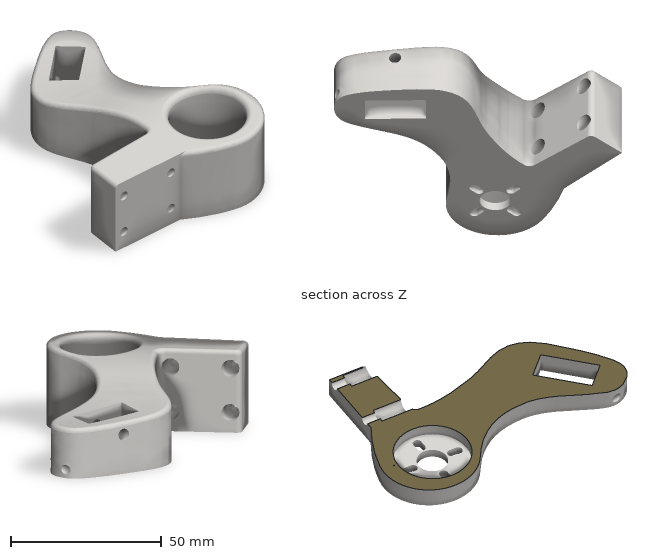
import cadquery as cq
import math

BODY_HEIGHT = 28.0
EDGE_ROUND = 1.5

SLOPE_TOP_X = 73.3
SLOPE_MID_X, SLOPE_MID_Z = 49.4, 24.7
TAIL_Z = 17.0

HUB_X, HUB_Y = 78.2, 49.0
HUB_RADIUS = 17.2
HUB_START_ANGLE = -12.0
HUB_END_ANGLE = 142.0

CUP_X, CUP_Y = 76.3, 48.1
CUP_DIAMETER = 26.0
CUP_RIM_ROUND = 2.0
CUP_FLOOR = 3.0
SHAFT_HOLE_DIAMETER = 10.5
SLOT_WIDTH = 3.05
SLOT_LENGTH = 5.5
SLOT_PITCH_RADIUS = 8.7

ARM_RIGHT_X = 87.9
ARM_SHOULDER_Y = 27.45
SHOULDER_DIRECTION = (1, 1.75)
ARM_TIP_X = 73.7
ARM_ROOT_X, ARM_ROOT_Y = 71.7, 27.4
ARM_TIP_ROUND = 1.9
ARM_ROOT_ROUND = 2.7
ARM_HOLE_YS = (3.5, 23.45)
ARM_HOLE_ZS = (6.9, 21.9)
ARM_HOLE_DIAMETER = 3.3
ARM_BORE_DIAMETER = 5.8
ARM_BORE_FLOOR = 5.0
ARM_BORE_LENGTH = 14.3

WINDOW_X, WINDOW_Y = 17.5, 35.6
WINDOW_LENGTH, WINDOW_WIDTH = 20.2, 10.1
WINDOW_ANGLE = -45.0
PIN_DIAMETER = 4.0
PIN_Z = 13.3
PIN_REACH = 19.1
NOSE_HOLE_DIAMETER = 3.05
NOSE_HOLE_Z = 3.0
NOSE_HOLE_OFFSET = 4.9

CLEARANCE = 57.2
SEAM_TOLERANCE = 0.1

TAIL_OUTLINE = [
    (61.4, 54.8),
    (55.3, 48.4),
    (49.2, 44.8),
    (42.9, 43.1),
    (36.6, 42.7),
    (29.7, 44.1),
    (14.5, 50.9),
    (8.4, 52.2),
    (1.9, 48.6),
    (0.0, 43.7),
    (1.6, 38.9),
    (8.6, 29.55),
    (16.8, 20.7),
    (21.0, 17.4),
    (28.1, 15.3),
    (36.1, 17.4),
    (42.9, 21.1),
    (51.5, 24.5),
    (61.5, 26.9),
]


def hub_point(angle):
    turn = math.radians(angle)
    return (HUB_X + HUB_RADIUS * math.cos(turn), HUB_Y + HUB_RADIUS * math.sin(turn))


def hub_tangent(angle):
    turn = math.radians(angle)
    return (-math.sin(turn), math.cos(turn))


def upright_edge(x, y):
    """Selector for the vertical edge that stands at (x, y)."""
    return cq.selectors.NearestToPointSelector((x, y, BODY_HEIGHT / 2))


def outline_prism():
    middle_angle = (HUB_START_ANGLE + HUB_END_ANGLE) / 2
    flank_tangents = [SHOULDER_DIRECTION, hub_tangent(HUB_START_ANGLE)]
    tail_tangents = [hub_tangent(HUB_END_ANGLE)] + [None] * len(TAIL_OUTLINE)
    return (
        cq.Workplane("XY")
        .moveTo(ARM_RIGHT_X, 0)
        .lineTo(ARM_RIGHT_X, ARM_SHOULDER_Y)
        .spline([hub_point(HUB_START_ANGLE)], tangents=flank_tangents, includeCurrent=True)
        .threePointArc(hub_point(middle_angle), hub_point(HUB_END_ANGLE))
        .spline(TAIL_OUTLINE, tangents=tail_tangents, includeCurrent=True)
        .tangentArcPoint((ARM_ROOT_X, ARM_ROOT_Y), relative=False)
        .lineTo(ARM_TIP_X, 0)
        .close()
        .extrude(BODY_HEIGHT)
        .edges(upright_edge(ARM_TIP_X, 0))
        .fillet(ARM_TIP_ROUND)
        .edges(upright_edge(ARM_ROOT_X, ARM_ROOT_Y))
        .fillet(ARM_ROOT_ROUND)
    )


def height_envelope():
    """Side profile, extruded across the full width of the part."""
    drop = BODY_HEIGHT - SLOPE_MID_Z
    run = SLOPE_TOP_X - SLOPE_MID_X
    crest_radius = (run**2 + drop**2) / (2 * drop)
    half_turn = math.asin(run / crest_radius) / 2
    crest = (SLOPE_TOP_X - crest_radius * math.sin(half_turn),
             BODY_HEIGHT - crest_radius * (1 - math.cos(half_turn)))
    return (
        cq.Workplane("XZ")
        .moveTo(HUB_X + CLEARANCE, 0)
        .lineTo(HUB_X + CLEARANCE, BODY_HEIGHT)
        .lineTo(SLOPE_TOP_X, BODY_HEIGHT)
        .threePointArc(crest, (SLOPE_MID_X, SLOPE_MID_Z))
        .tangentArcPoint((0, TAIL_Z), relative=False)
        .lineTo(-CLEARANCE, TAIL_Z)
        .lineTo(-CLEARANCE, 0)
        .close()
        .extrude(-CLEARANCE * 2)
    )


def round_top_rim(body):
    """Round the upper outline; the arm's right edge and the seams across the top stay sharp."""
    rim = []
    for edge in body.edges().vals():
        box = edge.BoundingBox()
        runs_sideways = box.xlen > SEAM_TOLERANCE
        if runs_sideways and box.zmin > TAIL_Z - EDGE_ROUND:
            rim.append(edge)
    return body.newObject(rim).fillet(EDGE_ROUND)


def cut_motor_cup(body):
    radius = CUP_DIAMETER / 2
    cup = cq.Workplane("XY", origin=(CUP_X, CUP_Y, CUP_FLOOR)).circle(radius).extrude(CLEARANCE)
    body = body.cut(cup)
    margin = radius + SEAM_TOLERANCE
    rim_zone = cq.selectors.BoxSelector(
        (CUP_X - margin, CUP_Y - margin, BODY_HEIGHT - CUP_RIM_ROUND),
        (CUP_X + margin, CUP_Y + margin, BODY_HEIGHT + SEAM_TOLERANCE),
        boundingbox=True,
    )
    return body.edges(rim_zone).fillet(CUP_RIM_ROUND)


def cut_motor_mount(body):
    floor = cq.Workplane("XY", origin=(CUP_X, CUP_Y, 0))
    shaft_hole = floor.circle(SHAFT_HOLE_DIAMETER / 2).extrude(CUP_FLOOR)
    slots = (
        floor.polarArray(SLOT_PITCH_RADIUS, 0, 360, 4)
        .slot2D(SLOT_LENGTH, SLOT_WIDTH)
        .extrude(CUP_FLOOR)
    )
    return body.cut(shaft_hole).cut(slots)


def cut_arm_screws(body):
    """Through holes along X with deep counterbores opening on the arm's left side."""
    centres = [(y, z) for y in ARM_HOLE_YS for z in ARM_HOLE_ZS]
    bore_end = cq.Workplane("YZ", origin=(ARM_RIGHT_X - ARM_BORE_FLOOR, 0, 0)).pushPoints(centres)
    through_holes = bore_end.circle(ARM_HOLE_DIAMETER / 2).extrude(CLEARANCE)
    counterbores = bore_end.circle(ARM_BORE_DIAMETER / 2).extrude(-ARM_BORE_LENGTH)
    return body.cut(through_holes).cut(counterbores)


def place_on_tail(cutter):
    """Move a cutter from the window's own axes (X lengthwise) onto the tail."""
    return cutter.rotate((0, 0, 0), (0, 0, 1), WINDOW_ANGLE).translate((WINDOW_X, WINDOW_Y, 0))


def cut_tail(body):
    window = cq.Workplane("XY").rect(WINDOW_LENGTH, WINDOW_WIDTH).extrude(BODY_HEIGHT)
    cross_pin = (
        cq.Workplane("XZ", origin=(0, 0, PIN_Z))
        .circle(PIN_DIAMETER / 2)
        .extrude(PIN_REACH, both=True)
    )
    nose_holes = (
        cq.Workplane("YZ", origin=(-WINDOW_LENGTH / 2, 0, NOSE_HOLE_Z))
        .pushPoints([(-NOSE_HOLE_OFFSET, 0), (NOSE_HOLE_OFFSET, 0)])
        .circle(NOSE_HOLE_DIAMETER / 2)
        .extrude(-CLEARANCE)
    )
    for cutter in (window, cross_pin, nose_holes):
        body = body.cut(place_on_tail(cutter))
    return body


envelope = height_envelope()
result = round_top_rim(outline_prism().intersect(envelope))
result = result.intersect(cut_motor_cup(envelope))
result = cut_motor_mount(result)
result = cut_arm_screws(result)
result = cut_tail(result)